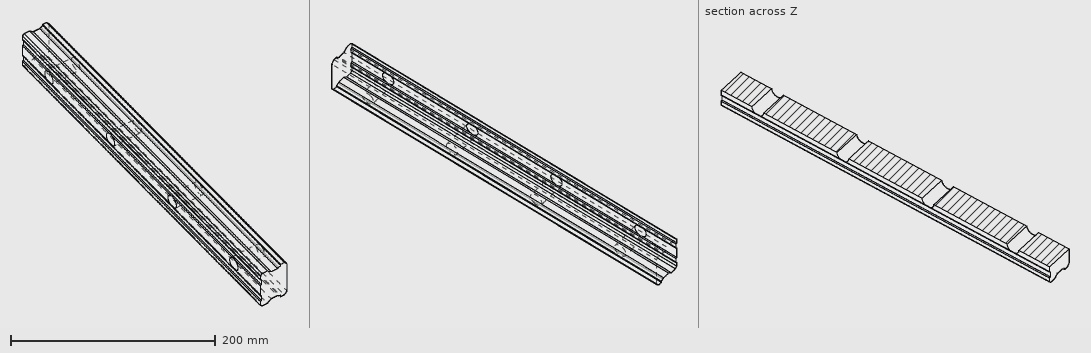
import cadquery as cq

length = 405.0
depth = 32.0
height = 45.0
half_height = height / 2

front_chamfer = 2.0
back_chamfer_depth = 3.2
back_chamfer_height = 3.5

track_start = 8.5
track_floor_start = 13.0
track_floor_end = 20.5
track_lip = 24.5
track_depth = 3.5
track_lip_height = 1.5
track_edge_break = 1.0
track_foot_width = 1.2
track_foot_rise = 1.0

relief_inner = 7.0
relief_outer = 15.0
relief_depth = 1.2
relief_slope = 1.0

hole_diameter = 14.0
hole_pitch = 105.0
hole_count = 4


def upper_outline():
    """Points (y, z) of the upper half section, from the front to the back."""
    track_z = half_height - track_depth
    return [
        (0, relief_inner),
        (relief_depth, relief_inner + relief_slope),
        (relief_depth, relief_outer - relief_slope),
        (0, relief_outer),
        (0, half_height - front_chamfer),
        (front_chamfer, half_height),
        (track_start, half_height),
        (track_start + track_edge_break, half_height - track_edge_break),
        (track_floor_start, track_z),
        (track_floor_end, track_z),
        (track_floor_end + track_foot_width, track_z + track_foot_rise),
        (track_lip, half_height - track_lip_height),
        (track_lip, half_height),
        (depth - back_chamfer_depth, half_height),
        (depth, half_height - back_chamfer_height),
    ]


def make_rail():
    """Extrude the section, mirrored about mid-height, along X."""
    upper = upper_outline()
    lower = [(y, -z) for y, z in reversed(upper)]
    section = cq.Workplane("YZ").polyline(upper + lower).close()
    return section.extrude(length / 2, both=True)


def make_holes():
    """Row of plain cylinders through the full depth, centred along the rail."""
    return (
        cq.Workplane("XZ")
        .rarray(hole_pitch, 4, hole_count, 1)
        .circle(hole_diameter / 2)
        .extrude(-depth)
    )


result = make_rail().cut(make_holes())